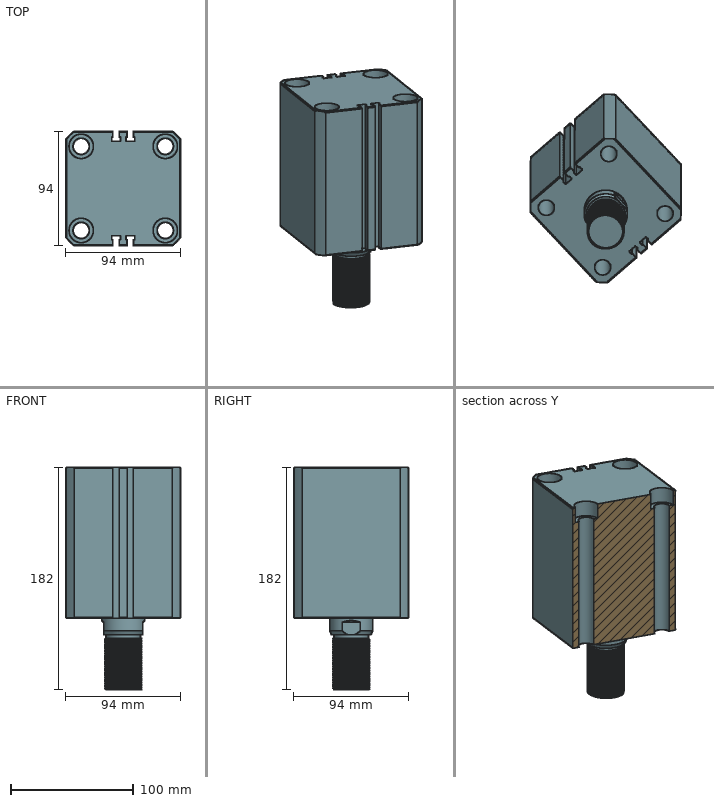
import cadquery as cq
import math

housing_width = 94.0
housing_height = 123.5
corner_setback = 7.0
edge_bevel = 0.82

hole_spacing = 68.8
hole_diameter = 13.1
counterbore_diameter = 20.0
counterbore_depth = 12.7

slot_spacing = 11.6
slot_mouth_width = 5.1
slot_inner_width = 7.0
slot_lip_depth = 5.1
slot_depth = 8.2

rod_diameter = 35.3
rod_length = 13.6
rod_socket_depth = 11.0
rod_bevel_width = 1.5
rod_bevel_height = 3.3
flat_distance = 32.0
flat_ramp_start = 1.8

overall_length = 182.0
neck_diameter = 28.4
neck_length = 2.7
thread_diameter = 30.0
thread_turns = 28
thread_depth = 1.1
thread_angle = 60
ridge_sink = 0.05

half_width = housing_width / 2
stud_end = housing_height - overall_length
stud_top = -rod_length
thread_top = stud_top - neck_length
thread_length = thread_top - stud_end
thread_pitch = thread_length / thread_turns
root_radius = thread_diameter / 2 - thread_depth
corner_radius = math.hypot(half_width, half_width - corner_setback)


def turned(profile):
    """Solid of revolution about Z from (radius, height) corners."""
    return cq.Workplane("YZ").polyline([(-radius, z) for radius, z in profile]).close().revolve(360, (0, 0), (0, 1))


def cylinder(radius, bottom, top):
    return turned([(0, bottom), (radius, bottom), (radius, top), (0, top)])


def bevelled_slab():
    """Block whose flat sides are bevelled at the top and bottom, before its corners are rounded."""
    slab = cq.Workplane("XY").rect(housing_width, housing_width).extrude(housing_height)
    return slab.faces("<Z or >Z").chamfer(edge_bevel)


def sensor_slots():
    inner_length = slot_depth - slot_lip_depth
    mouth = cq.Workplane("XY").box(
        slot_mouth_width, slot_depth, housing_height, centered=(True, False, False)
    )
    inner = cq.Workplane("XY").box(
        slot_inner_width, inner_length, housing_height, centered=(True, False, False)
    )
    slot = mouth.union(inner.translate((0, slot_lip_depth, 0))).translate((0, -half_width, 0))
    pair = slot.translate((-slot_spacing / 2, 0, 0)).union(slot.translate((slot_spacing / 2, 0, 0)))
    return pair.union(pair.mirror("XZ"))


def make_housing():
    corner_cylinder = cq.Workplane("XY").circle(corner_radius).extrude(housing_height)
    block = bevelled_slab().intersect(corner_cylinder).cut(sensor_slots())
    block = (
        block.faces(">Z").workplane(origin=(0, 0, housing_height))
        .rect(hole_spacing, hole_spacing, forConstruction=True).vertices()
        .cboreHole(hole_diameter, counterbore_diameter, counterbore_depth)
    )
    return block.cut(cylinder(rod_diameter / 2, 0, rod_socket_depth))


def wrench_flat():
    """Cutter for the flat on the +X side, with a 45 degree ramp at its upper end."""
    flat = flat_distance / 2
    rod_radius = rod_diameter / 2
    ramp_end = -flat_ramp_start
    ramp_start = ramp_end - (rod_radius - flat)
    return (
        cq.Workplane("XZ")
        .moveTo(flat, stud_top).lineTo(flat, ramp_start).lineTo(rod_radius, ramp_end)
        .lineTo(rod_diameter, ramp_end).lineTo(rod_diameter, stud_top).close()
        .extrude(rod_radius, both=True)
    )


def make_rod():
    radius = rod_diameter / 2
    rod = turned([
        (0, stud_top),
        (radius - rod_bevel_width, stud_top),
        (radius, stud_top + rod_bevel_height),
        (radius, rod_socket_depth),
        (0, rod_socket_depth),
    ])
    flat = wrench_flat()
    return rod.cut(flat).cut(flat.mirror("YZ"))


def thread_ridge():
    """Right-hand helical ridge, V-shaped and running one pitch past both ends of the thread.

    Its base reaches slightly into the core so that the two fuse cleanly.
    """
    base_radius = root_radius - ridge_sink
    crest_radius = thread_diameter / 2
    half_base = (crest_radius - base_radius) * math.tan(math.radians(thread_angle / 2))
    helix = cq.Wire.makeHelix(thread_pitch, thread_length + 2 * thread_pitch, root_radius)
    ridge = (
        cq.Workplane("XZ")
        .moveTo(base_radius, -half_base).lineTo(crest_radius, 0).lineTo(base_radius, half_base).close()
        .sweep(cq.Workplane(helix), isFrenet=True)
    )
    return ridge.translate((0, 0, stud_end - thread_pitch))


def make_stud():
    spare = 3 * thread_pitch
    core = cylinder(root_radius, stud_end - spare, thread_top + spare)
    threaded = core.union(thread_ridge(), clean=False)
    threaded = threaded.cut(cylinder(thread_diameter, stud_end - 2 * spare, stud_end), clean=False)
    threaded = threaded.cut(cylinder(thread_diameter, thread_top, thread_top + 2 * spare), clean=False)
    neck = cylinder(neck_diameter / 2, thread_top, stud_top)
    return threaded.union(neck, clean=False)


housing = make_housing()
rod = make_rod()
stud = make_stud()

result = cq.Compound.makeCompound([housing.val(), rod.val(), stud.val()])